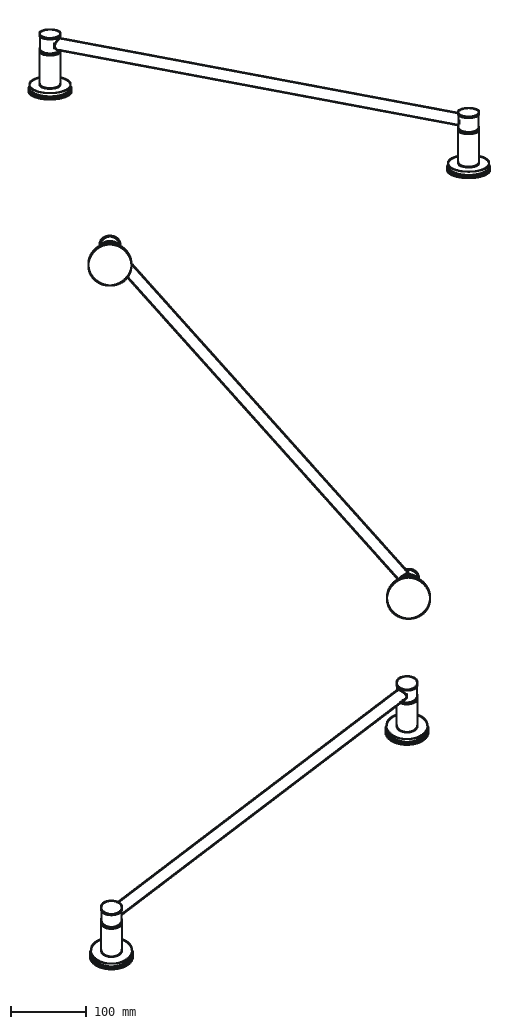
import cadquery as cq

overall_length = 667.0
overall_height = 83.0

flange_radius = 29.0
flange_face_radius = 27.5
flange_rim_height = 2.0
flange_bevel_top = 4.0
flange_height = 9.0

post_radius = 14.0
post_top = 57.5
foot_bevel_height = 1.5

head_radius = 13.5
collar_gap = 1.5
collar_height = 1.5
cap_thickness = 2.0

bar_radius = 8.0
bar_axis_height = 70.0
bar_insertion = 4.0

foot_bevel_top = flange_height + foot_bevel_height
collar_base = post_top + collar_gap
collar_top = collar_base + collar_height
cap_base = overall_height - cap_thickness
post_offset = overall_length / 2 - flange_radius
bar_end = post_offset - head_radius + bar_insertion


def make_bar():
    """Round bar along X, centred between the posts."""
    end_plane = cq.Workplane("YZ").workplane(offset=-bar_end)
    return end_plane.center(0, bar_axis_height).circle(bar_radius).extrude(2 * bar_end)


def make_post(x, bar):
    """Turned post with its flange at x, with a blind socket for the bar end."""
    flange_outline = [
        (0, 0),
        (flange_radius, 0),
        (flange_radius, flange_rim_height),
        (flange_face_radius, flange_bevel_top),
        (flange_face_radius, flange_height),
    ]
    shaft_outline = [
        (head_radius, flange_height),
        (post_radius, foot_bevel_top),
        (post_radius, post_top),
        (head_radius, post_top),
    ]
    head_outline = [
        (head_radius, collar_base),
        (post_radius, collar_base),
        (post_radius, collar_top),
        (head_radius, collar_top),
        (head_radius, cap_base),
        (post_radius, cap_base),
        (post_radius, overall_height),
        (0, overall_height),
    ]
    outline = flange_outline + shaft_outline + head_outline
    post = cq.Workplane("XZ").polyline(outline).close().revolve(360, (0, 0), (0, 1))
    return post.translate((x, 0, 0)).cut(bar)


bar = make_bar()
posts = [make_post(x, bar) for x in (-post_offset, post_offset)]

result = cq.Compound.makeCompound([bar.val(), *[post.val() for post in posts]])